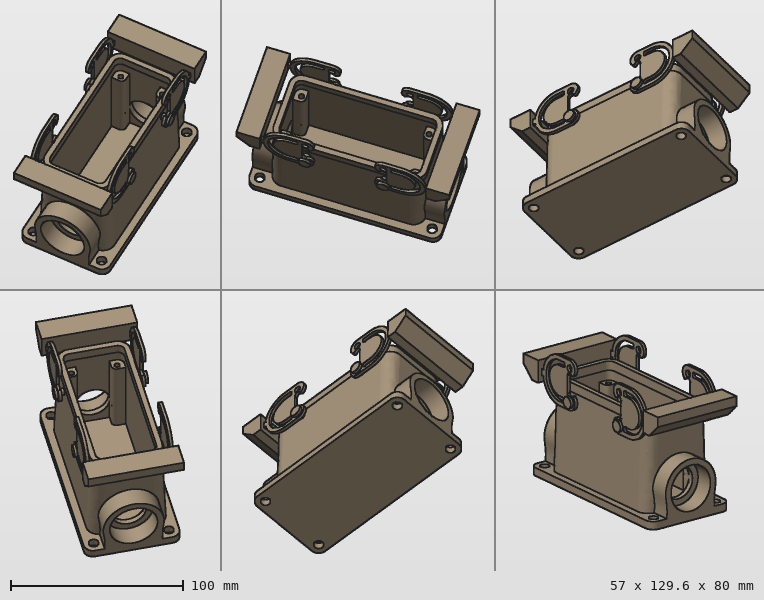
import cadquery as cq
import math

flange_width = 57.0
flange_length = 117.1
flange_thickness = 5.0
flange_corner_radius = 5.5
mount_hole_diameter = 5.7
mount_hole_inset = 6.1

box_top_width = 43.3
box_foot_width = 47.4
box_length = 93.2
box_corner_radius = 7.5
wall_thickness = 3.5
box_top_z = 58.4
cavity_width = box_top_width - 2 * wall_thickness
cavity_length = box_length - 2 * wall_thickness
cavity_corner_radius = box_corner_radius - wall_thickness
floor_z = flange_thickness

rim_height = 5.7

post_width = 8.0
post_length = 7.3
post_corner_radius = 3.0
post_top_z = 52.2
post_hole_diameter = 3.1
post_hole_x = 13.6
post_hole_y = 38.8

entry_z = 20.1
entry_radius = 18.1
entry_bore_radius = 14.2
entry_bore_depth = (flange_length - box_length) / 2
entry_hole_radius = 10.2
entry_foot_width = 34.7
entry_blend_drop = 3.4

lever_inner_x = 24.0
lever_thickness = 2.0
lever_outer_radius = 15.5
lever_center_y = 33.7
lever_top_z = 80.0
lever_center_z = lever_top_z - lever_outer_radius
slot_outer_radius = 12.7
slot_inner_radius = 9.5
slot_end_y = 28.4
slot_corner_radius = 1.0
hook_radius = 5.2
hook_center_y = 23.8
hook_center_offset = lever_outer_radius - hook_radius
hook_notch_radius = 2.0
hook_notch_spacing = 4.5
hook_tip_radius = 1.2

pin_diameter = 4.1
pin_head_diameter = 7.3
pin_head_outer_x = 27.7
pin_z = lever_center_z - hook_center_offset

bar_outer_y = 64.8
bar_depth = 14.1
bar_foot_depth = 5.8
bar_top_z = 72.4
bar_edge_z = 66.3
bar_bottom_z = box_top_z
tab_height = 4.0


def rounded_block(width, length, radius, bottom_z, top_z):
    """Upright block centred on the Z axis with rounded vertical edges."""
    block = cq.Workplane("XY").workplane(offset=bottom_z).rect(width, length).extrude(top_z - bottom_z)
    return block.edges("|Z").fillet(radius)


def corner_points(x, y):
    return [(side * x, end * y) for side in (-1, 1) for end in (-1, 1)]


def make_cavity(top_z):
    return rounded_block(cavity_width, cavity_length, cavity_corner_radius, floor_z, top_z)


def make_flange():
    hole_x = flange_width / 2 - mount_hole_inset
    hole_y = flange_length / 2 - mount_hole_inset
    flange = rounded_block(flange_width, flange_length, flange_corner_radius, 0, flange_thickness)
    return (
        flange.faces(">Z").workplane(origin=(0, 0, 0))
        .pushPoints(corner_points(hole_x, hole_y)).hole(mount_hole_diameter)
    )


def box_outline(width):
    return cq.Sketch().rect(width, box_length).vertices().fillet(box_corner_radius)


def make_box():
    """Solid box whose long sides lean inward towards the top."""
    return (
        cq.Workplane("XY").workplane(offset=flange_thickness)
        .placeSketch(
            box_outline(box_foot_width),
            box_outline(box_top_width).moved(cq.Location(cq.Vector(0, 0, box_top_z - flange_thickness))),
        )
        .loft(ruled=True)
    )


def make_post(side, end):
    """Corner post with its one free corner rounded; its other sides join the cavity walls."""
    free_x = cavity_width / 2 - post_width
    free_y = cavity_length / 2 - post_length
    joint_x = (box_top_width - wall_thickness) / 2
    joint_y = (box_length - wall_thickness) / 2
    hidden_cut = cavity_corner_radius
    return (
        cq.Workplane("XY").workplane(offset=floor_z)
        .moveTo(side * free_x, end * (free_y + post_corner_radius))
        .lineTo(side * free_x, end * joint_y)
        .lineTo(side * (joint_x - hidden_cut), end * joint_y)
        .lineTo(side * joint_x, end * (joint_y - hidden_cut))
        .lineTo(side * joint_x, end * free_y)
        .lineTo(side * (free_x + post_corner_radius), end * free_y)
        .radiusArc((side * free_x, end * (free_y + post_corner_radius)), side * end * post_corner_radius)
        .close()
        .extrude(post_top_z - floor_z)
    )


def make_post_holes():
    return (
        cq.Workplane("XY").workplane(offset=floor_z)
        .pushPoints(corner_points(post_hole_x, post_hole_y))
        .circle(post_hole_diameter / 2)
        .extrude(post_top_z - floor_z)
    )


def make_entry_bosses():
    """One bar along Y, round on top, that forms the bosses of both cable entries."""
    blend_x = math.sqrt(entry_radius**2 - entry_blend_drop**2)
    blend_z = entry_z - entry_blend_drop
    foot_x = entry_foot_width / 2
    right_side = (
        cq.Workplane("XZ", origin=(0, flange_length / 2, 0))
        .moveTo(0, entry_z + entry_radius)
        .threePointArc((entry_radius, entry_z), (blend_x, blend_z))
        .tangentArcPoint((foot_x, flange_thickness), relative=False)
        .lineTo(foot_x, 0)
        .lineTo(0, 0)
        .close()
        .extrude(flange_length)
    )
    return right_side.union(right_side.mirror("YZ"))


def make_entry_holes():
    """Hole along the whole housing, with a wider bore at each end."""
    end_y = flange_length / 2
    holes = cq.Workplane("XZ", origin=(0, end_y, entry_z)).circle(entry_hole_radius).extrude(flange_length)
    for start_y in (end_y, entry_bore_depth - end_y):
        bore = cq.Workplane("XZ", origin=(0, start_y, entry_z)).circle(entry_bore_radius)
        holes = holes.union(bore.extrude(entry_bore_depth))
    return holes


def lever_sketch_plane():
    """Plane facing +X at the inner face of the lever, origin at the centre of its round end."""
    return cq.Workplane("YZ", origin=(lever_inner_x, lever_center_y, lever_center_z))


def half_disc(radius, straight_end_y):
    """Plate that is round towards +Y and ends straight at straight_end_y."""
    end = straight_end_y - lever_center_y
    return (
        lever_sketch_plane()
        .moveTo(end, radius).lineTo(0, radius)
        .threePointArc((radius, 0), (0, -radius))
        .lineTo(end, -radius).close()
        .extrude(lever_thickness)
    )


def make_lever_plate():
    """Lever plate on the +X side of the +Y end, with a hook above and below."""
    hook_y = hook_center_y - lever_center_y
    plate_edge_y = hook_center_y + hook_notch_radius
    hook_points = [(hook_y, hook_center_offset), (hook_y, -hook_center_offset)]
    notch_offset = hook_center_offset - hook_notch_spacing
    notch_points = [(hook_y, notch_offset), (hook_y, -notch_offset)]

    plate = half_disc(lever_outer_radius, plate_edge_y)
    for _, offset in hook_points:
        middle = math.copysign(lever_outer_radius - hook_radius / 2, offset)
        neck = lever_sketch_plane().center((hook_y + plate_edge_y - lever_center_y) / 2, middle)
        plate = plate.union(neck.rect(hook_notch_radius, hook_radius).extrude(lever_thickness))
    plate = plate.union(
        lever_sketch_plane().pushPoints(hook_points).circle(hook_radius).extrude(lever_thickness)
    )
    plate = plate.cut(
        lever_sketch_plane().pushPoints(notch_points).circle(hook_notch_radius).extrude(lever_thickness)
    )
    hook_tips = cq.selectors.BoxSelector(
        (0, 0, lever_center_z - notch_offset),
        (flange_width, hook_center_y, lever_center_z + notch_offset),
    )
    plate = plate.edges("|X").edges(hook_tips).fillet(hook_tip_radius)
    slot = half_disc(slot_outer_radius, slot_end_y).cut(half_disc(slot_inner_radius, slot_end_y))
    slot = slot.edges("|X and <Y").fillet(slot_corner_radius)
    holes = lever_sketch_plane().pushPoints(hook_points).circle(pin_diameter / 2).extrude(lever_thickness)
    return plate.cut(slot).cut(holes)


def make_lever_tab():
    tab_start_y = lever_center_y + (lever_outer_radius + slot_outer_radius) / 2
    tab_end_y = bar_outer_y - bar_depth
    return cq.Workplane("XY").box(
        lever_thickness, tab_end_y - tab_start_y, tab_height, centered=(False, False, True)
    ).translate((lever_inner_x, tab_start_y, lever_center_z))


def make_pin():
    """Pin through the lower hole of the lever, rooted in the side wall, with a head outside."""
    root_x = cavity_width / 2 + wall_thickness / 2
    head_x = lever_inner_x + lever_thickness
    shank = cq.Workplane("YZ", origin=(root_x, hook_center_y, pin_z)).circle(pin_diameter / 2)
    head = cq.Workplane("YZ", origin=(head_x, hook_center_y, pin_z)).circle(pin_head_diameter / 2)
    return shank.extrude(head_x - root_x).union(head.extrude(pin_head_outer_x - head_x))


def make_handle_bar():
    inner_y = bar_outer_y - bar_depth
    return (
        cq.Workplane("YZ", origin=(-flange_width / 2, 0, 0))
        .polyline([
            (inner_y, bar_bottom_z),
            (inner_y + bar_foot_depth, bar_bottom_z),
            (bar_outer_y, bar_edge_z),
            (bar_outer_y, bar_top_z),
            (inner_y, bar_top_z),
        ])
        .close()
        .extrude(flange_width)
    )


def make_lever():
    """Locking lever of the +Y end: two plates and their pins, joined by the handle bar."""
    one_side = make_lever_plate().union(make_lever_tab()).union(make_pin())
    return make_handle_bar().union(one_side).union(one_side.mirror("YZ"))


def make_housing():
    housing = make_flange().union(make_box()).union(make_entry_bosses())
    housing = housing.cut(make_cavity(box_top_z))
    for side, end in corner_points(1, 1):
        housing = housing.union(make_post(side, end))
    housing = housing.cut(make_post_holes()).cut(make_entry_holes())
    lever = make_lever()
    return housing.union(lever).union(lever.mirror("XZ"))


def make_rim():
    rim_top_z = box_top_z + rim_height
    rim = rounded_block(box_top_width, box_length, box_corner_radius, box_top_z, rim_top_z)
    return rim.cut(make_cavity(rim_top_z))


housing = make_housing()
rim = make_rim()
result = cq.Compound.makeCompound([housing.val(), rim.val()])